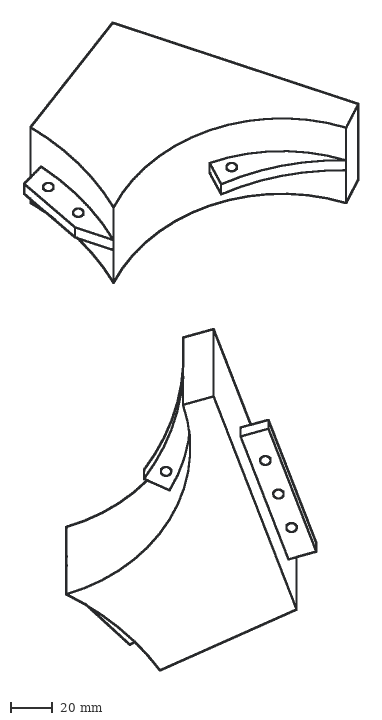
import cadquery as cq

block_height = 60.0
total_depth = 115.94
block_right = 139.51
block_left = 0.0
back_left_x = 12.4

tab_thickness = 8.0
tab_bottom = (block_height - tab_thickness) / 2

back_tab_reach = 14.0
back_tab_left = 24.9
back_tab_length = 73.3

back_y = total_depth - back_tab_reach
right_end_thickness = 15.4
back_left_corner = (back_left_x, back_y)
back_right_corner = (block_right, back_y)
right_tip = (block_right, back_y - right_end_thickness)
foot_tip = (55.0, 0.0)
left_corner = (block_left, 29.1)

inner_radius = 87.5
foot_radius = 129.0
inner_tab_edge_radius = 118.5

inner_tab_corner = (89.8, 50.5)
inner_tab_root = (76.1, 63.8)

foot_tab_root = (7.6, 32.0)
foot_tab_side_corner = (2.6, 14.8)
foot_tab_front_corner = (35.1, 0.0)

core_point = (45.0, 95.0)

hole_diameter = 5.0
hole_spacing = 20.0
back_hole_center_x = back_tab_left + back_tab_length / 2
back_hole_y = back_y + back_tab_reach / 2
back_hole_points = [(back_hole_center_x + step * hole_spacing, back_hole_y) for step in (-1, 0, 1)]
inner_hole_points = [(90.5, 61.9)]
foot_hole_points = [(14.1, 17.4), (33.2, 8.7)]


def make_block():
    """Corner plate with one hollow face on the inside and one at the foot."""
    return (
        cq.Workplane("XY")
        .moveTo(*left_corner)
        .lineTo(*back_left_corner)
        .lineTo(*back_right_corner)
        .lineTo(*right_tip)
        .radiusArc(foot_tip, -inner_radius)
        .radiusArc(left_corner, -foot_radius)
        .close()
        .extrude(block_height)
    )


def tab_plane():
    """Workplane on the underside of the tabs."""
    return cq.Workplane("XY").workplane(offset=tab_bottom)


def drill(tab, points):
    """Cut the tab holes, limited to the tab thickness."""
    holes = tab_plane().pushPoints(points).circle(hole_diameter / 2).extrude(tab_thickness)
    return tab.cut(holes)


def make_back_tab():
    """Rectangular tab standing out from the back face."""
    tab = (
        tab_plane()
        .moveTo(back_tab_left, back_y)
        .rect(back_tab_length, back_tab_reach, centered=False)
        .extrude(tab_thickness)
    )
    return drill(tab, back_hole_points)


def make_inner_tab():
    """Crescent-shaped tab on the inner hollow face, tapering to the right tip."""
    tab = (
        tab_plane()
        .moveTo(*core_point)
        .lineTo(*inner_tab_root)
        .lineTo(*inner_tab_corner)
        .radiusArc(right_tip, inner_tab_edge_radius)
        .close()
        .extrude(tab_thickness)
    )
    return drill(tab, inner_hole_points)


def make_foot_tab():
    """Tab filling part of the foot hollow, ending at the foot tip."""
    tab = (
        tab_plane()
        .moveTo(*core_point)
        .lineTo(*foot_tab_root)
        .lineTo(*foot_tab_side_corner)
        .lineTo(*foot_tab_front_corner)
        .lineTo(*foot_tip)
        .close()
        .extrude(tab_thickness)
    )
    return drill(tab, foot_hole_points)


result = make_block()
for tab in (make_back_tab(), make_inner_tab(), make_foot_tab()):
    result = result.union(tab)